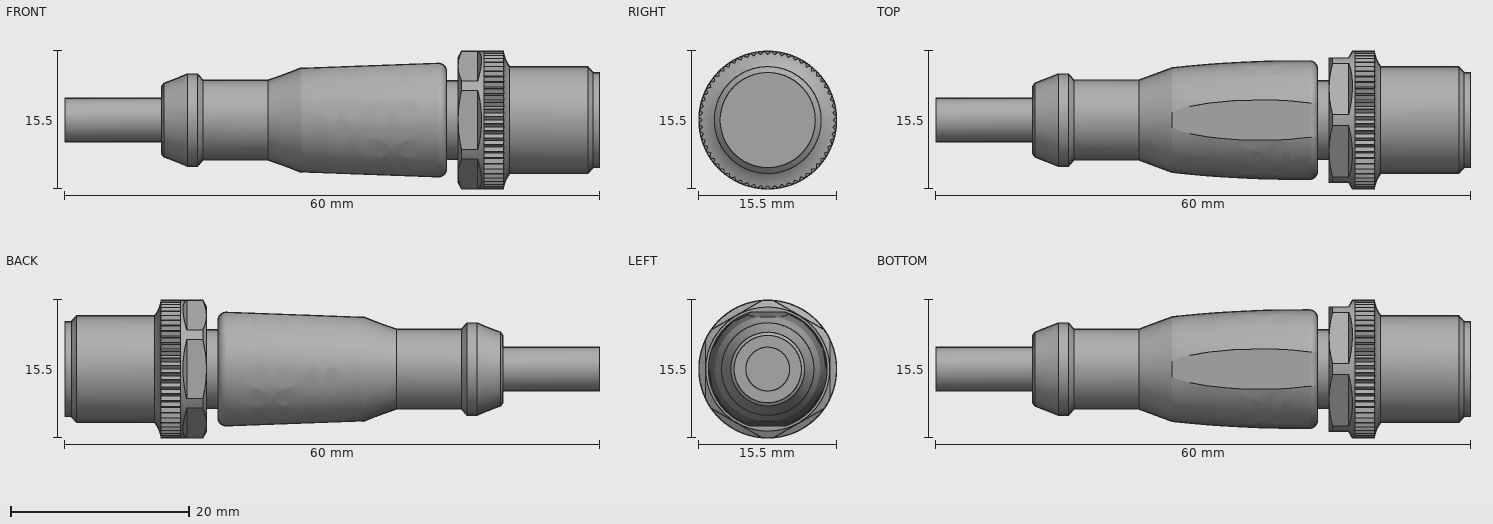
import cadquery as cq
import math

LENGTH = 60.0

CABLE_RADIUS = 2.45

HEAD_START = 10.85
HEAD_FACE_RADIUS = 3.8
HEAD_EDGE_RADIUS = 4.15
HEAD_EDGE_LENGTH = 0.25
HEAD_RIM_RADIUS = 10.4 / 2
HEAD_RIM_START = 13.75
HEAD_RIM_END = 14.9
HEAD_END = 15.5

SLEEVE_RADIUS = 9.0 / 2
CONE_START = 22.8
CONE_END = 26.5
CONE_END_RADIUS = 5.9
BARREL_START = 27.0
BARREL_START_RADIUS = 5.95
BARREL_MID = 35.1
BARREL_MID_RADIUS = 6.55
BARREL_END = 42.85
BARREL_END_RADIUS = 6.65
BARREL_END_FILLET = 0.95

FLAT_START_HEIGHT = 5.8
FLAT_END_HEIGHT = 6.4

NECK_RADIUS = 8.9 / 2

NUT_START = 44.1
NUT_RADIUS = 15.5 / 2
NUT_FACE_RADIUS = 6.95
NUT_CHAMFER_LENGTH = 0.4
HEX_SIDES = 6
HEX_ACROSS_FLATS = 14.0
HEX_END = 46.3
HEX_RUNOUT_ANGLE = 60.0
KNURL_START = 47.05
KNURL_COUNT = 60
KNURL_WIDTH = 0.8
KNURL_DEPTH = 0.35

COLLAR_END = 49.2
COLLAR_CURVE_MID = 49.45
COLLAR_CURVE_MID_RADIUS = 6.85
PLUG_START = 49.9

PLUG_RADIUS = 12.0 / 2
PLUG_SHOULDER = 58.7
TIP_START = 59.3
TIP_RADIUS = 10.7 / 2

CLEARANCE = 1.2


def revolve_about_x(profile):
    """Turn a profile, drawn as (X, radius), into a solid around the X axis."""
    return profile.close().revolve(360, (0, 0, 0), (1, 0, 0))


def cylinder(start, end, radius):
    return cq.Workplane("YZ").workplane(offset=start).circle(radius).extrude(end - start)


def make_grip():
    profile = (
        cq.Workplane("XY")
        .moveTo(HEAD_START, 0)
        .lineTo(HEAD_START, HEAD_FACE_RADIUS)
        .lineTo(HEAD_START + HEAD_EDGE_LENGTH, HEAD_EDGE_RADIUS)
        .lineTo(HEAD_RIM_START, HEAD_RIM_RADIUS)
        .lineTo(HEAD_RIM_END, HEAD_RIM_RADIUS)
        .lineTo(HEAD_END, SLEEVE_RADIUS)
        .lineTo(CONE_START, SLEEVE_RADIUS)
        .lineTo(CONE_END, CONE_END_RADIUS)
        .lineTo(BARREL_START, BARREL_START_RADIUS)
        .threePointArc((BARREL_MID, BARREL_MID_RADIUS), (BARREL_END, BARREL_END_RADIUS))
        .lineTo(BARREL_END, 0)
    )
    grip = revolve_about_x(profile)

    slope = (FLAT_END_HEIGHT - FLAT_START_HEIGHT) / (BARREL_END - CONE_END)
    tool_end = BARREL_END + CLEARANCE
    tool_top = BARREL_END_RADIUS + CLEARANCE
    upper_cut = (
        cq.Workplane("XZ")
        .moveTo(CONE_END, FLAT_START_HEIGHT)
        .lineTo(tool_end, FLAT_END_HEIGHT + slope * CLEARANCE)
        .lineTo(tool_end, tool_top)
        .lineTo(CONE_END, tool_top)
        .close()
        .extrude(BARREL_END_RADIUS, both=True)
    )
    grip = grip.cut(upper_cut).cut(upper_cut.mirror("XY"))
    return grip.faces(">X").edges().fillet(BARREL_END_FILLET)


def make_nut_and_plug_blank():
    curve_mid = (COLLAR_CURVE_MID, COLLAR_CURVE_MID_RADIUS)
    profile = (
        cq.Workplane("XY")
        .moveTo(NUT_START, 0)
        .lineTo(NUT_START, NUT_FACE_RADIUS)
        .lineTo(NUT_START + NUT_CHAMFER_LENGTH, NUT_RADIUS)
        .lineTo(COLLAR_END, NUT_RADIUS)
        .threePointArc(curve_mid, (PLUG_START, PLUG_RADIUS))
        .lineTo(PLUG_SHOULDER, PLUG_RADIUS)
        .lineTo(TIP_START, TIP_RADIUS)
        .lineTo(LENGTH, TIP_RADIUS)
        .lineTo(LENGTH, 0)
    )
    return revolve_about_x(profile)


def cut_hexagon(nut):
    """Cut six flats, each ending in a sloping plane; two of them face +Y and -Y."""
    flat_height = HEX_ACROSS_FLATS / 2
    tool_top = NUT_RADIUS + CLEARANCE
    runout = (tool_top - flat_height) / math.tan(math.radians(HEX_RUNOUT_ANGLE))
    flat_cut = (
        cq.Workplane("XY")
        .moveTo(NUT_START - CLEARANCE, flat_height)
        .lineTo(HEX_END, flat_height)
        .lineTo(HEX_END + runout, tool_top)
        .lineTo(NUT_START - CLEARANCE, tool_top)
        .close()
        .extrude(NUT_RADIUS, both=True)
    )
    for side in range(HEX_SIDES):
        nut = nut.cut(flat_cut.rotate((0, 0, 0), (1, 0, 0), side * 360 / HEX_SIDES))
    return nut


def cut_knurl(nut):
    """Cut V-grooves along X around the collar."""
    rim_height = math.sqrt(NUT_RADIUS**2 - (KNURL_WIDTH / 2) ** 2)
    root = NUT_RADIUS - KNURL_DEPTH
    tool_top = NUT_RADIUS + KNURL_DEPTH
    half_width = KNURL_WIDTH / 2 * (tool_top - root) / (rim_height - root)
    groove = (
        cq.Workplane("YZ")
        .workplane(offset=KNURL_START)
        .moveTo(0, root)
        .lineTo(half_width, tool_top)
        .lineTo(-half_width, tool_top)
        .close()
        .extrude(PLUG_START - KNURL_START)
    )
    step = 360 / KNURL_COUNT
    grooves = [groove.rotate((0, 0, 0), (1, 0, 0), i * step).val() for i in range(KNURL_COUNT)]
    return nut.cut(cq.Workplane(cq.Compound.makeCompound(grooves)))


cable = cylinder(0, HEAD_START + CLEARANCE, CABLE_RADIUS)
neck = cylinder(BARREL_END - CLEARANCE, NUT_START + CLEARANCE, NECK_RADIUS)
nut_and_plug = cut_knurl(cut_hexagon(make_nut_and_plug_blank()))

result = make_grip().union(cable).union(neck).union(nut_and_plug)